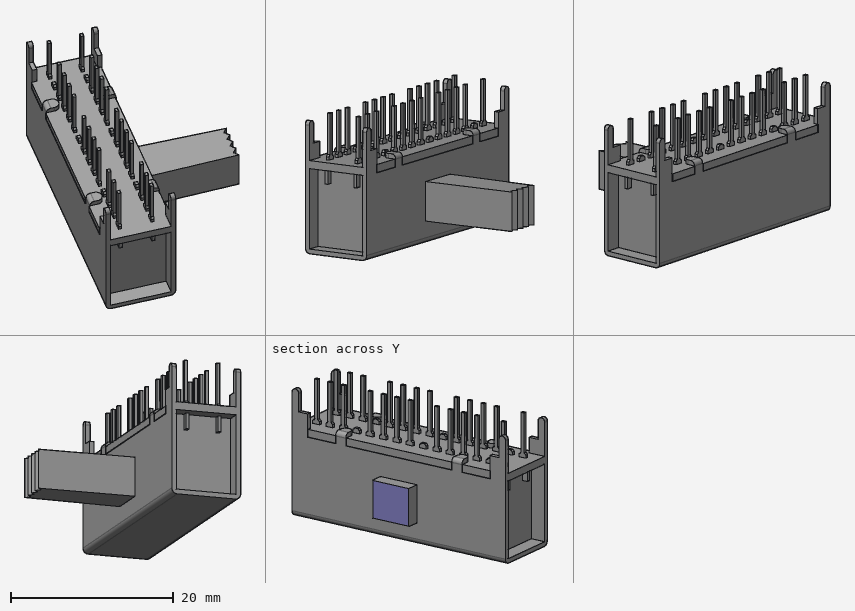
import cadquery as cq

BODY_LENGTH = 32.0
BODY_WIDTH = 9.0
WALL = 0.6
BOTTOM_RADIUS = 0.7
EAR_TOP = 16.6
EAR_WIDTH = 1.0
SHOULDER_TOP = 13.7
SHOULDER_WIDTH = 2.35

PLATE_TOP = 11.68
PLATE_THICKNESS = 1.0
PLATE_SHIFT = -0.1
PLATE_BOTTOM = PLATE_TOP - PLATE_THICKNESS

TAB_CENTERS_X = (-8.7, 8.7)
TAB_WIDTH = 1.6
FOLD_WIDTH = 1.53
TAB_REACH = 1.82
TAB_TOP = PLATE_TOP + WALL
BEND_RADIUS = 0.59

PITCH = 2.0
COLUMNS = 15
COLUMNS_WITHOUT_PIN = (1, 6, 11)
ROW_SPACING = 4.2
TERMINAL_THICKNESS = 0.4
PIN_WIDTH = 0.5
PIN_TOP = 17.5
STUB_WIDTH = 1.0
STUB_TOP = 12.32
STUB_CHAMFER = (STUB_WIDTH - PIN_WIDTH) / 2
BLADE_WIDTH = 1.5
BLADE_BOTTOM = 8.7

BLOCK_RECESS = 2.0

LEVER_BOTTOM = 2.8
LEVER_HEIGHT = 4.95
LEVER_REACH = 12.5
LEVER_ROOT_WIDTH = 5.5
LEVER_TIP_WIDTH = 5.0
TEETH = 4
TOOTH_PITCH = LEVER_TIP_WIDTH / TEETH
TOOTH_DEPTH = 0.55

HALF_LENGTH = BODY_LENGTH / 2
HALF_WIDTH = BODY_WIDTH / 2
INNER_WIDTH = BODY_WIDTH - 2 * WALL


def box(x_size, y_size, bottom, top, x=0.0, y=0.0):
    """Box centred on (x, y), reaching from bottom to top."""
    block = cq.Workplane("XY").box(x_size, y_size, top - bottom, centered=(True, True, False))
    return block.translate((x, y, bottom))


def make_shell():
    tip_radius = EAR_WIDTH / 2
    tip_center_z = EAR_TOP - tip_radius
    shell = box(BODY_LENGTH, BODY_WIDTH, 0, tip_center_z)
    shell = shell.edges("|X and <Z").fillet(BOTTOM_RADIUS)
    gap = box(BODY_LENGTH, INNER_WIDTH, WALL, EAR_TOP)
    shell = shell.cut(gap)

    shell = shell.cut(box(BODY_LENGTH - 2 * EAR_WIDTH, BODY_WIDTH, SHOULDER_TOP, EAR_TOP))
    shell = shell.cut(box(BODY_LENGTH - 2 * SHOULDER_WIDTH, BODY_WIDTH, PLATE_BOTTOM, SHOULDER_TOP))

    tip_centers = [(-HALF_LENGTH + tip_radius, tip_center_z), (HALF_LENGTH - tip_radius, tip_center_z)]
    tips = cq.Workplane("XZ").pushPoints(tip_centers).circle(tip_radius).extrude(HALF_WIDTH, both=True)
    return shell.union(tips.cut(gap))


def make_plate():
    between_walls = box(BODY_LENGTH, INNER_WIDTH, PLATE_BOTTOM, PLATE_TOP)
    notch_length = BODY_LENGTH - 2 * SHOULDER_WIDTH
    over_walls = box(notch_length, BODY_WIDTH, PLATE_BOTTOM, PLATE_TOP, y=PLATE_SHIFT)
    for x in TAB_CENTERS_X:
        over_walls = over_walls.cut(box(TAB_WIDTH, 2 * BODY_WIDTH, PLATE_BOTTOM, PLATE_TOP, x=x))
    return between_walls.union(over_walls)


def make_tab(x, side):
    """Tab rising from the wall on the given Y side (+1 or -1) and folded inward."""
    upright = box(TAB_WIDTH, WALL, PLATE_BOTTOM, PLATE_TOP, y=HALF_WIDTH - WALL / 2)
    half_fold = FOLD_WIDTH / 2
    tip_y = HALF_WIDTH - TAB_REACH
    fold = cq.Workplane("XY", origin=(0, 0, PLATE_TOP)).moveTo(half_fold, HALF_WIDTH)
    fold = fold.lineTo(half_fold, tip_y + half_fold)
    fold = fold.threePointArc((0, tip_y), (-half_fold, tip_y + half_fold))
    fold = fold.lineTo(-half_fold, HALF_WIDTH).close().extrude(WALL)
    fold = fold.edges("|X and >Y and >Z").fillet(BEND_RADIUS)
    tab = upright.union(fold)
    if side < 0:
        tab = tab.mirror("XZ")
    return tab.translate((x, 0, 0))


def make_terminal(x, y, has_pin):
    blade = box(BLADE_WIDTH, TERMINAL_THICKNESS, BLADE_BOTTOM, PLATE_BOTTOM)
    stub = box(STUB_WIDTH, TERMINAL_THICKNESS, PLATE_BOTTOM, STUB_TOP)
    stub = stub.edges("|Y and >Z").chamfer(STUB_CHAMFER)
    terminal = blade.union(stub)
    if has_pin:
        terminal = terminal.union(box(PIN_WIDTH, TERMINAL_THICKNESS, PLATE_TOP, PIN_TOP))
    return terminal.translate((x, y, 0))


def make_inner_block():
    return box(BODY_LENGTH - 2 * BLOCK_RECESS, INNER_WIDTH, WALL, PLATE_BOTTOM)


def make_lever():
    """Tapered lever with a sawtooth end."""
    tip_y = HALF_WIDTH + LEVER_REACH
    half_root = LEVER_ROOT_WIDTH / 2
    half_tip = LEVER_TIP_WIDTH / 2
    outline = [(half_root, HALF_WIDTH), (-half_root, HALF_WIDTH), (-half_tip, tip_y)]
    for tooth in range(TEETH):
        valley_x = -half_tip + (tooth + 0.5) * TOOTH_PITCH
        outline.append((valley_x, tip_y - TOOTH_DEPTH))
        outline.append((valley_x + TOOTH_PITCH / 2, tip_y))
    base = cq.Workplane("XY", origin=(0, 0, LEVER_BOTTOM))
    return base.polyline(outline).close().extrude(LEVER_HEIGHT)


def make_switch():
    switch = make_shell().union(make_plate()).union(make_inner_block()).union(make_lever())
    for x in TAB_CENTERS_X:
        for side in (-1, 1):
            switch = switch.union(make_tab(x, side))
    for column in range(COLUMNS):
        x = (column - (COLUMNS - 1) / 2) * PITCH
        has_pin = column not in COLUMNS_WITHOUT_PIN
        for side in (-1, 1):
            y = PLATE_SHIFT + side * ROW_SPACING / 2
            switch = switch.union(make_terminal(x, y, has_pin))
    return switch


result = make_switch()